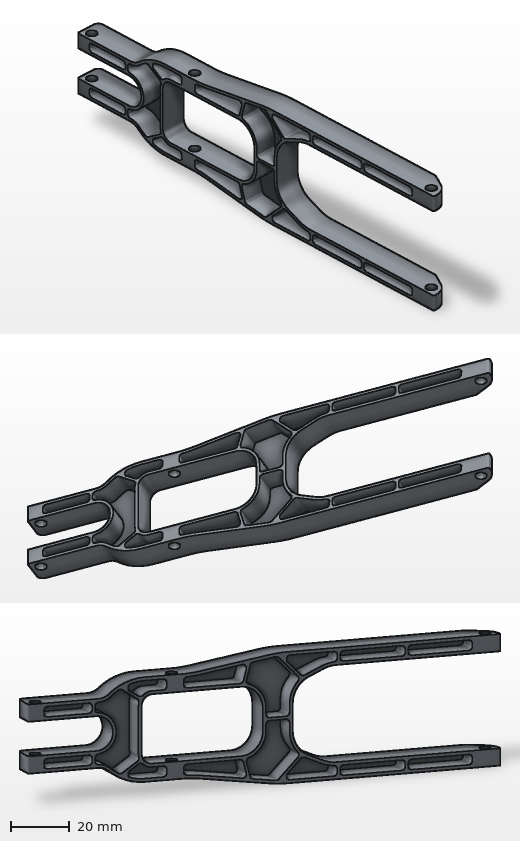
import cadquery as cq
import math

LENGTH = 173.0
THICKNESS = 10.0

NOSE_OUTER = 12.1
SLOT_HALF = 6.0
BODY_OUTER = 18.3
TAIL_OUTER = 23.0
TAIL_INNER = 17.0

SHOULDER_START = 25.6
SHOULDER_TURN = 29.5
SHOULDER_END = 42.5
FLARE_START = 56.0
FLARE_END = 95.2
FLARE_BEND = 7.0

SLOT_CENTER = 24.9

WINDOW_LEFT = 41.5
WINDOW_RIGHT = 85.8
WINDOW_HALF = 12.1
WINDOW_LEFT_RADIUS = 3.8
WINDOW_RIGHT_RADIUS = 8.0

FORK_BOTTOM = 96.9
FORK_FLAT_HALF = 4.8
FORK_RADIUS = 9.7
FORK_SIDE_ANGLE = 23.0
FORK_BEND = 2.5

RIM = 1.2
RIB = 1.0
POCKET_DEPTH = 8.6
POCKET_RADIUS = 1.4
NOSE_PAD = (0.0, 5.7)
BODY_PAD = (50.7, 57.0)
TAIL_PAD = (162.6, LENGTH)
STRAIGHT_RIBS = (23.9, 113.7, 138.5)
LEANING_RIBS = (((37.7, 13.0), -33.0), ((80.0, 16.6), 75.0), ((96.2, 17.5), -45.0))
LEANING_RIB_LENGTH = 17.3

HOLE_DIAMETER = 4.0
HOLE_Y = 3.3
HOLE_STATIONS = (3.6, 53.6, 168.5)

NOSE_BACK_RADIUS = 2.2
FRONT_RADIUS = 0.5
TAIL_ROUND = 6.5
TAIL_ROUND_Y = 1.2
TAIL_BEVEL_ANGLE = 28.0


def on_circle(center, radius, angle):
    """Point on a circle at an angle in degrees."""
    turn = math.radians(angle)
    return center[0] + radius * math.cos(turn), center[1] + radius * math.sin(turn)


def outline():
    """Closed outer edge in the XZ plane, without the window."""
    turn_share = (SHOULDER_TURN - SHOULDER_START) / (SHOULDER_END - SHOULDER_START)
    shoulder_turn_z = NOSE_OUTER + turn_share * (BODY_OUTER - NOSE_OUTER)

    flare_slope = (TAIL_OUTER - BODY_OUTER) / (FLARE_END - FLARE_START - FLARE_BEND)
    bend_rise = flare_slope * FLARE_BEND / 2

    fork_center = (FORK_BOTTOM + FORK_RADIUS, FORK_FLAT_HALF)
    round_end_angle = 90 + FORK_SIDE_ANGLE
    round_end = on_circle(fork_center, FORK_RADIUS, round_end_angle)
    round_middle = on_circle(fork_center, FORK_RADIUS, (round_end_angle + 180) / 2)
    side_run = (TAIL_INNER - round_end[1]) / math.tan(math.radians(FORK_SIDE_ANGLE))
    fork_corner = (round_end[0] + side_run, TAIL_INNER)
    bend_start = (fork_corner[0] + FORK_BEND, TAIL_INNER)
    bend_end = on_circle(fork_corner, FORK_BEND, 180 + FORK_SIDE_ANGLE)

    return (
        cq.Workplane("XZ")
        .moveTo(SLOT_CENTER + SLOT_HALF, 0)
        .threePointArc(on_circle((SLOT_CENTER, 0), SLOT_HALF, 45), (SLOT_CENTER, SLOT_HALF))
        .lineTo(0, SLOT_HALF)
        .lineTo(0, NOSE_OUTER)
        .lineTo(SHOULDER_START, NOSE_OUTER)
        .tangentArcPoint((SHOULDER_TURN, shoulder_turn_z), relative=False)
        .tangentArcPoint((SHOULDER_END, BODY_OUTER), relative=False)
        .lineTo(FLARE_START, BODY_OUTER)
        .tangentArcPoint((FLARE_START + FLARE_BEND, BODY_OUTER + bend_rise), relative=False)
        .lineTo(FLARE_END - FLARE_BEND, TAIL_OUTER - bend_rise)
        .tangentArcPoint((FLARE_END, TAIL_OUTER), relative=False)
        .lineTo(LENGTH, TAIL_OUTER)
        .lineTo(LENGTH, TAIL_INNER)
        .lineTo(*bend_start)
        .tangentArcPoint(bend_end, relative=False)
        .lineTo(*round_end)
        .threePointArc(round_middle, (FORK_BOTTOM, FORK_FLAT_HALF))
        .lineTo(FORK_BOTTOM, 0)
        .mirrorX()
    )


def block_between(span, half_height, depth):
    """Block from the front face inward, over a span of X and symmetric in Z."""
    return (
        cq.Workplane("XZ")
        .center((span[0] + span[1]) / 2, 0)
        .rect(span[1] - span[0], 2 * half_height)
        .extrude(-depth)
    )


def window(growth, depth):
    """Solid filling the window, with every side moved outward by growth."""
    block = block_between((WINDOW_LEFT - growth, WINDOW_RIGHT + growth), WINDOW_HALF + growth, depth)
    block = block.edges("|Y and <X").fillet(WINDOW_LEFT_RADIUS + growth)
    return block.edges("|Y and >X").fillet(WINDOW_RIGHT_RADIUS + growth)


def pockets():
    """Rounded pockets of the front face, left between the rims, ribs and pads.

    Each pocket is first made smaller by the corner radius, then grown back
    by it, which rounds its corners.
    """
    cores = outline().offset2D(-(RIM + POCKET_RADIUS)).extrude(-POCKET_DEPTH)
    cores = cores.cut(window(RIM + POCKET_RADIUS, POCKET_DEPTH))

    for start, end in (NOSE_PAD, BODY_PAD, TAIL_PAD):
        pad = block_between((start - POCKET_RADIUS, end + POCKET_RADIUS), TAIL_OUTER, POCKET_DEPTH)
        cores = cores.cut(pad)

    half_rib = RIB / 2 + POCKET_RADIUS
    for x in STRAIGHT_RIBS:
        cores = cores.cut(block_between((x - half_rib, x + half_rib), TAIL_OUTER, POCKET_DEPTH))

    cores = cores.cut(block_between((WINDOW_RIGHT, FORK_BOTTOM), half_rib, POCKET_DEPTH))

    for (x, z), angle in LEANING_RIBS:
        for side in (1, -1):
            rib = (
                cq.Workplane("XZ")
                .center(x, side * z)
                .transformed(rotate=(0, 0, side * angle))
                .rect(LEANING_RIB_LENGTH, 2 * half_rib)
                .extrude(-POCKET_DEPTH)
            )
            cores = cores.cut(rib)

    core_edges = cores.faces("<Y").wires().toPending()
    return core_edges.offset2D(POCKET_RADIUS).extrude(-POCKET_DEPTH)


def end_profile():
    """Bar with the rounded ends as seen along Z, tall enough to hold the whole part."""
    round_center = (LENGTH - TAIL_ROUND, TAIL_ROUND_Y)
    bevel_normal = 90 - TAIL_BEVEL_ANGLE
    round_start = on_circle(round_center, TAIL_ROUND, bevel_normal)
    round_middle = on_circle(round_center, TAIL_ROUND, bevel_normal / 2)
    bevel_run = (THICKNESS - round_start[1]) / math.tan(math.radians(TAIL_BEVEL_ANGLE))
    bar = (
        cq.Workplane("XY")
        .lineTo(0, THICKNESS)
        .lineTo(round_start[0] - bevel_run, THICKNESS)
        .lineTo(*round_start)
        .threePointArc(round_middle, (LENGTH, TAIL_ROUND_Y))
        .lineTo(LENGTH, 0)
        .close()
        .extrude(TAIL_OUTER, both=True)
    )
    bar = bar.edges("|Z and <X and >Y").fillet(NOSE_BACK_RADIUS)
    return bar.edges("|Z and <Y").fillet(FRONT_RADIUS)


def cross_holes():
    """Rods for the holes that run through both arms along Z."""
    return (
        cq.Workplane("XY")
        .pushPoints([(x, HOLE_Y) for x in HOLE_STATIONS])
        .circle(HOLE_DIAMETER / 2)
        .extrude(TAIL_OUTER, both=True)
    )


body = outline().extrude(-THICKNESS).cut(window(0, THICKNESS))
body = body.intersect(end_profile())
result = body.cut(pockets()).cut(cross_holes())